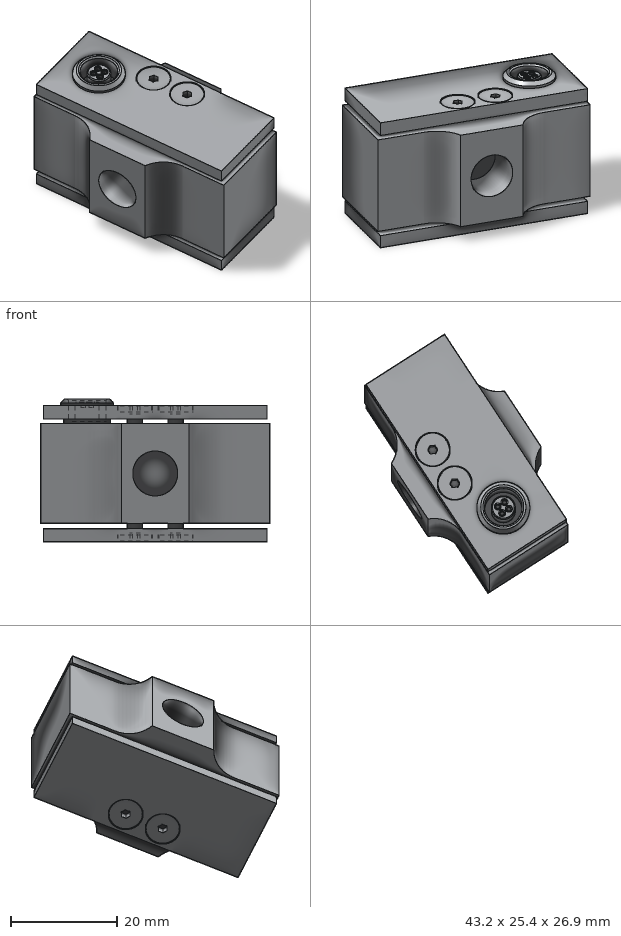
import cadquery as cq
import math

BODY_LENGTH = 43.2
BODY_WIDTH = 17.6
BODY_HEIGHT = 18.83
OVERALL_WIDTH = 25.4
BOSS_FACE_LENGTH = 12.7
BOSS_FOOT_LENGTH = 24.4
PORT_DIAMETER = 8.45
PORT_DEPTH = 8.65

PLATE_LENGTH = 42.15
TOP_PLATE_THICKNESS = 2.6
TOP_GAP = 0.8
BOTTOM_PLATE_THICKNESS = 2.5
BOTTOM_GAP = 0.95

SCREW_SPACING = 7.65
SCREW_Y = 5.05
SHANK_DIAMETER = 2.95
HEAD_BORE_DIAMETER = 6.55
HEAD_DIAMETER = 6.3
HEAD_BORE_DEPTH = 1.3
HEAD_RECESS = 0.15
HEX_ACROSS_FLATS = 1.6
HEX_DEPTH = 1.5

CONNECTOR_X = -12.82
CONNECTOR_DIAMETER = 9.97
CONNECTOR_RISE = 1.2
CONNECTOR_CHAMFER = 0.75
COLLAR_DIAMETER = 8.9
CAVITY_MOUTH_DIAMETER = 7.7
CAVITY_DIAMETER = 7.1
CAVITY_DEPTH = 4.25
INSERT_DIAMETER = 4.55
INSERT_CHAMFER = 0.2
INSERT_RECESS = 0.55
CONTACT_PITCH = 1.5
CONTACT_BORE_DIAMETER = 1.3
CONTACT_BORE_DEPTH = 0.17
CONTACT_SOCKET_DIAMETER = 0.8
CONTACT_SOCKET_DEPTH = 1.1

BODY_TOP = BODY_HEIGHT / 2
BODY_BOTTOM = -BODY_HEIGHT / 2
TOP_PLATE_UNDERSIDE = BODY_TOP + TOP_GAP
TOP_PLATE_FACE = TOP_PLATE_UNDERSIDE + TOP_PLATE_THICKNESS
BOTTOM_PLATE_UPPER = BODY_BOTTOM - BOTTOM_GAP
BOTTOM_PLATE_FACE = BOTTOM_PLATE_UPPER - BOTTOM_PLATE_THICKNESS
CONNECTOR_TOP = TOP_PLATE_FACE + CONNECTOR_RISE
SCREW_POINTS = [(-SCREW_SPACING / 2, SCREW_Y), (SCREW_SPACING / 2, SCREW_Y)]


def cylinder(diameter, bottom, top, points):
    """Vertical cylinders between two heights, one at each point."""
    plane = cq.Workplane("XY", origin=(0, 0, bottom))
    return plane.pushPoints(points).circle(diameter / 2).extrude(top - bottom)


def block(length, width, bottom, top):
    return cq.Workplane("XY", origin=(0, 0, bottom)).rect(length, width).extrude(top - bottom)


def make_boss_pair():
    """Bosses on both long sides; their concave flanks run tangent into the block."""
    side_y = BODY_WIDTH / 2
    face_y = OVERALL_WIDTH / 2
    face_x = BOSS_FACE_LENGTH / 2
    foot_x = BOSS_FOOT_LENGTH / 2
    run = foot_x - face_x
    rise = face_y - side_y
    radius = (run**2 + rise**2) / (2 * rise)
    half_sweep = math.asin(run / radius) / 2
    mid_x = foot_x - radius * math.sin(half_sweep)
    mid_y = side_y + radius * (1 - math.cos(half_sweep))
    return (
        cq.Workplane("XY", origin=(0, 0, BODY_BOTTOM))
        .moveTo(foot_x, side_y)
        .threePointArc((mid_x, mid_y), (face_x, face_y))
        .lineTo(-face_x, face_y)
        .threePointArc((-mid_x, mid_y), (-foot_x, side_y))
        .lineTo(-foot_x, -side_y)
        .threePointArc((-mid_x, -mid_y), (-face_x, -face_y))
        .lineTo(face_x, -face_y)
        .threePointArc((mid_x, -mid_y), (foot_x, -side_y))
        .close()
        .extrude(BODY_HEIGHT)
    )


def make_body():
    body = block(BODY_LENGTH, BODY_WIDTH, BODY_BOTTOM, BODY_TOP).union(make_boss_pair())
    front_port = (
        cq.Workplane("XZ", origin=(0, -OVERALL_WIDTH / 2, 0))
        .circle(PORT_DIAMETER / 2)
        .extrude(-PORT_DEPTH)
    )
    return body.cut(front_port).cut(front_port.mirror("XZ"))


def make_screw_bores(plate_face):
    """Ring gap and shallow recess around each screw head, with its hex socket."""
    bore_floor = plate_face - HEAD_BORE_DEPTH
    head_top = plate_face - HEAD_RECESS
    bores = cylinder(HEAD_BORE_DIAMETER, bore_floor, plate_face, SCREW_POINTS)
    heads = cylinder(HEAD_DIAMETER, bore_floor, head_top, SCREW_POINTS)
    hex_across_corners = HEX_ACROSS_FLATS / math.cos(math.pi / 6)
    sockets = (
        cq.Workplane("XY", origin=(0, 0, head_top))
        .pushPoints(SCREW_POINTS)
        .polygon(6, hex_across_corners)
        .extrude(-HEX_DEPTH)
    )
    return bores.cut(heads).union(sockets)


def make_top_plate():
    plate = block(PLATE_LENGTH, BODY_WIDTH, TOP_PLATE_UNDERSIDE, TOP_PLATE_FACE)
    shanks = cylinder(SHANK_DIAMETER, BODY_TOP, TOP_PLATE_UNDERSIDE, SCREW_POINTS)
    return plate.cut(make_screw_bores(TOP_PLATE_FACE)).union(shanks)


def make_bottom_plate():
    """Lower plate, with the same screws mirrored onto its underside."""
    plate = block(PLATE_LENGTH, BODY_WIDTH, BOTTOM_PLATE_FACE, BOTTOM_PLATE_UPPER)
    shanks = cylinder(SHANK_DIAMETER, BOTTOM_PLATE_UPPER, BODY_BOTTOM, SCREW_POINTS)
    bores = make_screw_bores(-BOTTOM_PLATE_FACE).mirror("XY")
    return plate.cut(bores).union(shanks)


def make_connector_shell():
    centre = [(CONNECTOR_X, 0)]
    flange = cylinder(CONNECTOR_DIAMETER, TOP_PLATE_FACE, CONNECTOR_TOP, centre)
    flange = flange.faces(">Z").chamfer(CONNECTOR_CHAMFER)
    collar = cylinder(COLLAR_DIAMETER, BODY_TOP, TOP_PLATE_FACE, centre)
    return collar.union(flange)


def make_connector_cavity():
    """Round cavity with a bevelled mouth."""
    floor = CONNECTOR_TOP - CAVITY_DEPTH
    cavity = cylinder(CAVITY_DIAMETER, floor, CONNECTOR_TOP, [(CONNECTOR_X, 0)])
    bevel = (CAVITY_MOUTH_DIAMETER - CAVITY_DIAMETER) / 2
    mouth = (
        cq.Workplane("XY", origin=(CONNECTOR_X, 0, CONNECTOR_TOP))
        .circle(CAVITY_MOUTH_DIAMETER / 2)
        .extrude(-bevel, taper=45)
    )
    return cavity.union(mouth)


def make_connector_insert():
    """Central post carrying four contact sockets."""
    top = CONNECTOR_TOP - INSERT_RECESS
    post = cylinder(INSERT_DIAMETER, CONNECTOR_TOP - CAVITY_DEPTH, top, [(CONNECTOR_X, 0)])
    post = post.faces(">Z").chamfer(INSERT_CHAMFER)
    offset = CONTACT_PITCH / 2
    contacts = [(CONNECTOR_X + sx * offset, sy * offset) for sx in (-1, 1) for sy in (-1, 1)]
    bores = cylinder(CONTACT_BORE_DIAMETER, top - CONTACT_BORE_DEPTH, top, contacts)
    sockets = cylinder(CONTACT_SOCKET_DIAMETER, top - CONTACT_SOCKET_DEPTH, top, contacts)
    return post.cut(bores).cut(sockets)


result = (
    make_body()
    .union(make_top_plate())
    .union(make_bottom_plate())
    .union(make_connector_shell())
    .cut(make_connector_cavity())
    .union(make_connector_insert())
)